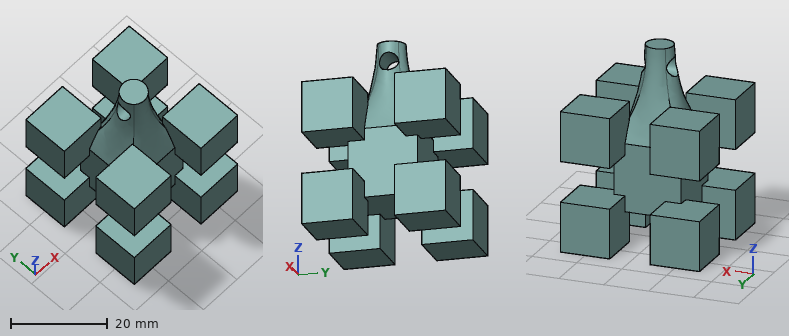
import cadquery as cq
import math

cluster_size = 31.0
cube_size = 11.0

block_size = 15.0
block_start = 7.5
block_top = block_start + block_size
block_center = block_start + block_size / 2

total_height = 42.5
neck_height = total_height - block_top
tip_radius = 6.05 / 2
tip_shift_x = 0.35
tip_shift_y = -0.2
shift_power = 2
section_count = 5
side_flare_power = 1.5
corner_flare_power = 2.4

hole_diameter = 4.0
hole_height = 38.0


def box_at(x, y, z, size):
    return cq.Workplane("XY").box(size, size, size, centered=False).translate((x, y, z))


def flared(tip_value, power, drop):
    """Half-width growing from the tip value to half the block over drop 0 to 1."""
    return tip_value + (block_size / 2 - tip_value) * drop**power


def neck_section(drop):
    """Four-sided wire: a circle at drop 0, a square at drop 1, bowed sides in between."""
    side = flared(tip_radius, side_flare_power, drop)
    corner = flared(tip_radius / math.sqrt(2), corner_flare_power, drop)
    center_x = block_center + tip_shift_x * (1 - drop**shift_power)
    center_y = block_center + tip_shift_y * (1 - drop**shift_power)
    z = total_height - neck_height * drop

    def point(x, y):
        return cq.Vector(center_x + x, center_y + y, z)

    corners = [
        point(-corner, -corner),
        point(corner, -corner),
        point(corner, corner),
        point(-corner, corner),
    ]
    middles = [point(0, -side), point(side, 0), point(0, side), point(-side, 0)]
    edges = []
    for i, middle in enumerate(middles):
        start = corners[i]
        end = corners[(i + 1) % len(corners)]
        if drop == 1:
            edges.append(cq.Edge.makeLine(start, end))
        else:
            edges.append(cq.Edge.makeThreePointArc(start, middle, end))
    return cq.Wire.assembleEdges(edges)


def make_neck():
    last = section_count - 1
    sections = [neck_section((last - i) / last) for i in range(section_count)]
    neck = cq.Workplane(cq.Solid.makeLoft(sections))
    hole = (
        cq.Workplane("YZ")
        .center(block_center, hole_height)
        .circle(hole_diameter / 2)
        .extrude(cluster_size)
    )
    return neck.cut(hole)


def make_body():
    body = box_at(block_start, block_start, block_start, block_size)
    cube_starts = (0, cluster_size - cube_size)
    for x in cube_starts:
        for y in cube_starts:
            for z in cube_starts:
                body = body.union(box_at(x, y, z, cube_size))
    return body


result = make_body().union(make_neck())